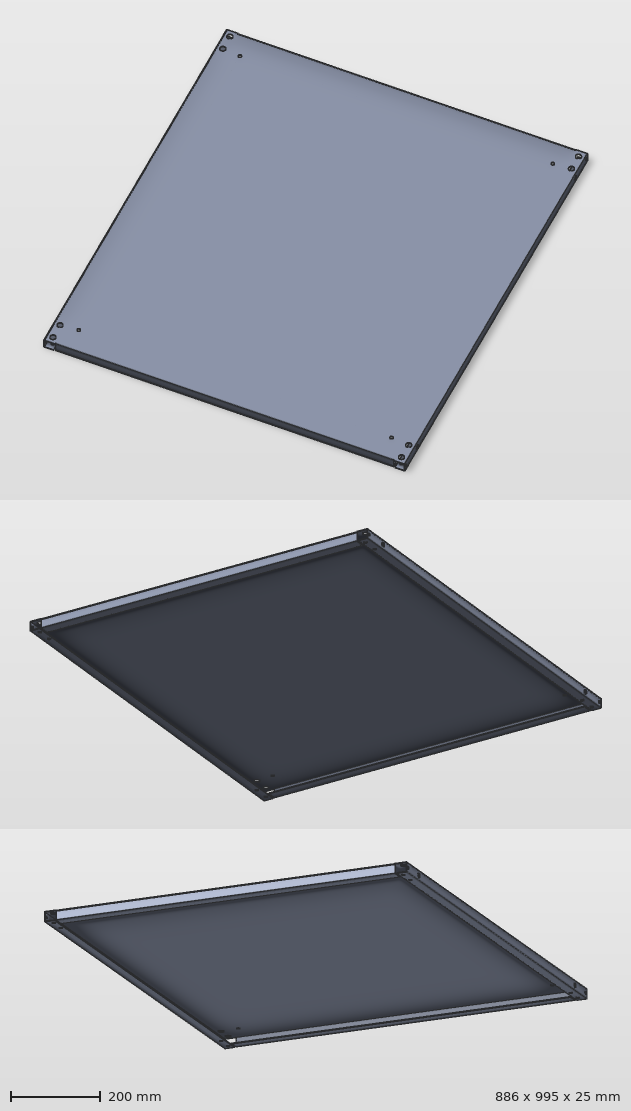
import cadquery as cq

WIDTH = 886.0
LENGTH = 995.0
HEIGHT = 25.0

SHEET = 2.5
BEND_RADIUS = SHEET
RETURN_WIDTH = 25.0
END_FOLD_INSET = 29.0
END_FOLD_LENGTH = WIDTH - 2 * END_FOLD_INSET

ACCESS_DIAMETER = 14.0
SCREW_DIAMETER = 8.0
FIXING_X = 427.0
FIXING_Y = (443.0, 482.0)

TOP_HOLE_DIAMETER = 8.0
TOP_HOLE_X = 383.0
TOP_HOLE_Y = 439.0

WALL_HOLE_DIAMETER = 11.0
WALL_HOLE_Y = 431.0
END_HOLE_DIAMETER = 7.0
END_HOLE_Y = 491.0


def folded_tray(span, depth):
    """C-folded sheet: top, two walls and two bottom returns, bent across X and run along Y."""
    outside = cq.Workplane("XY").box(span, depth, HEIGHT, centered=(True, True, False))
    outside = outside.edges("|Y").fillet(BEND_RADIUS)
    inside = cq.Workplane("XY", origin=(0, 0, SHEET)).box(
        span - 2 * SHEET, depth, HEIGHT - 2 * SHEET, centered=(True, True, False)
    )
    opening = cq.Workplane("XY").box(
        span - 2 * RETURN_WIDTH, depth, HEIGHT - SHEET, centered=(True, True, False)
    )
    return outside.cut(inside).cut(opening)


def corner_points(x, y):
    """The four points mirrored about both centre lines."""
    return [(sx * x, sy * y) for sx in (-1, 1) for sy in (-1, 1)]


def vertical_holes(points, diameter, bottom, top):
    """Cutters along Z between two heights."""
    return (
        cq.Workplane("XY", origin=(0, 0, bottom))
        .pushPoints(points).circle(diameter / 2).extrude(top - bottom)
    )


def cross_holes(y, diameter):
    """Cutters along X through both side walls, one near each end."""
    return (
        cq.Workplane("YZ", origin=(0, 0, HEIGHT / 2))
        .pushPoints([(-y, 0), (y, 0)]).circle(diameter / 2).extrude(WIDTH, both=True)
    )


side_folds = folded_tray(WIDTH, LENGTH)
end_folds = folded_tray(LENGTH, END_FOLD_LENGTH).rotate((0, 0, 0), (0, 0, 1), 90)

end_clearance = cq.Workplane("XY").box(
    END_FOLD_LENGTH, LENGTH, HEIGHT, centered=(True, True, False)
)
panel = side_folds.cut(end_clearance).union(end_folds)

for fixing_y in FIXING_Y:
    fixing_points = corner_points(FIXING_X, fixing_y)
    panel = panel.cut(vertical_holes(fixing_points, ACCESS_DIAMETER, HEIGHT / 2, HEIGHT))
    panel = panel.cut(vertical_holes(fixing_points, SCREW_DIAMETER, 0, HEIGHT / 2))

top_points = corner_points(TOP_HOLE_X, TOP_HOLE_Y)
panel = panel.cut(vertical_holes(top_points, TOP_HOLE_DIAMETER, HEIGHT / 2, HEIGHT))

panel = panel.cut(cross_holes(WALL_HOLE_Y, WALL_HOLE_DIAMETER))
panel = panel.cut(cross_holes(END_HOLE_Y, END_HOLE_DIAMETER))

result = panel